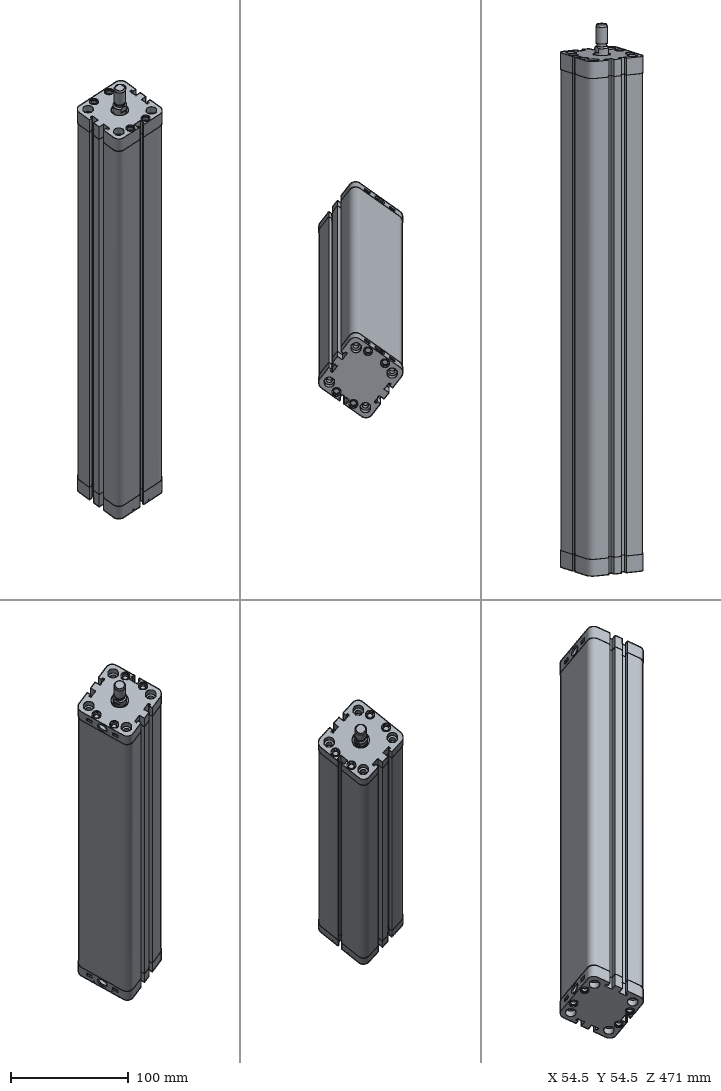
import cadquery as cq

TOTAL_HEIGHT = 471.0
ROD_STICK_OUT = 26.0
CAP_HEIGHT = 14.5
HALF_HEIGHT = TOTAL_HEIGHT / 2
BOTTOM_Z = -HALF_HEIGHT
TOP_FACE_Z = HALF_HEIGHT - ROD_STICK_OUT
BARREL_BOTTOM_Z = BOTTOM_Z + CAP_HEIGHT
BARREL_TOP_Z = TOP_FACE_Z - CAP_HEIGHT
BARREL_LENGTH = BARREL_TOP_Z - BARREL_BOTTOM_Z

WIDTH = 54.5
CAP_CORNER_RADIUS = 6.0
BARREL_CORNER_RADIUS = 7.0

RIB_WIDTH = 7.0
SIDE_SLOT_WIDTH = 5.0
SIDE_SLOT_DEPTH = 5.0
SIDE_SLOT_LIP = 3.5
SIDE_SLOT_UNDERCUT = 2.0

T_SLOT_MOUTH = 4.2
T_SLOT_WIDTH = 7.5
T_SLOT_DEPTH = 5.5
T_SLOT_LIP = 1.5

SCREW_PITCH = 38.0
SCREW_HEAD_DIAMETER = 9.0
SCREW_HEAD_DEPTH = 7.0
SCREW_DIAMETER = 5.0
SIDE_HOLE_X = 22.5
SIDE_HOLE_Y = 9.0
SIDE_HOLE_MOUTH_DIAMETER = 7.5
SIDE_HOLE_MOUTH_DEPTH = 1.5
SIDE_HOLE_DIAMETER = 5.0
SIDE_HOLE_DEPTH = 4.5

PORT_INSET = 8.0
PORT_MOUTH_DIAMETER = 10.0
PORT_DIAMETER = 8.0
PORT_MOUTH_DEPTH = (PORT_MOUTH_DIAMETER - PORT_DIAMETER) / 2
PORT_FLOOR_DIAMETER = 40.0
POCKET_OFFSET = 13.0
POCKET_WIDTH = 5.5
POCKET_HEIGHT = 3.5
POCKET_TAPER = 1.0
POCKET_DEPTH = 1.0

ROD_DIAMETER = 12.0
THREAD_DIAMETER = 10.0
THREAD_LENGTH = 16.5
THREAD_TIP_DIAMETER = 8.0
THREAD_TIP_LENGTH = 2.0
NECK_DIAMETER = 8.5
NECK_LENGTH = 2.5
SHOULDER_CHAMFER = 1.5
FLATS_WIDTH = 10.0
FLATS_LENGTH = 5.0
ROD_RECESS_DIAMETER = 14.5
ROD_RECESS_DEPTH = 1.5

SIGNS = (-1, 1)


def box_between(x_range, y_range, z_range):
    """Box spanning the given (low, high) ranges."""
    sizes = [high - low for low, high in (x_range, y_range, z_range)]
    corner = (x_range[0], y_range[0], z_range[0])
    return cq.Workplane("XY").box(*sizes, centered=False).translate(corner)


def cylinder(x, y, z, diameter, height):
    """Upright cylinder standing on the point (x, y, z)."""
    return cq.Workplane("XY").workplane(offset=z).center(x, y).circle(diameter / 2).extrude(height)


def side_slot(x_sign, y_sign, z, height):
    """L-shaped slot beside the middle rib of the -Y or +Y side."""
    outer_y = WIDTH / 2
    floor_y = outer_y - SIDE_SLOT_DEPTH
    rib_x = RIB_WIDTH / 2
    mouth_x = rib_x + SIDE_SLOT_WIDTH
    undercut_x = mouth_x + SIDE_SLOT_UNDERCUT
    lip_y = outer_y - SIDE_SLOT_LIP
    points = [
        (rib_x, floor_y),
        (undercut_x, floor_y),
        (undercut_x, lip_y),
        (mouth_x, lip_y),
        (mouth_x, outer_y),
        (rib_x, outer_y),
    ]
    signed_points = [(x_sign * x, y_sign * y) for x, y in points]
    return cq.Workplane("XY").workplane(offset=z).polyline(signed_points).close().extrude(height)


def t_slot(z, height):
    """T-slot in the +X side."""
    outer_x = WIDTH / 2
    floor_x = outer_x - T_SLOT_DEPTH
    lip_x = outer_x - T_SLOT_LIP
    z_range = (z, z + height)
    mouth = box_between((floor_x, outer_x), (-T_SLOT_MOUTH / 2, T_SLOT_MOUTH / 2), z_range)
    inner = box_between((floor_x, lip_x), (-T_SLOT_WIDTH / 2, T_SLOT_WIDTH / 2), z_range)
    return mouth.union(inner)


def slotted_block(corner_radius, z, height):
    """Rounded square block with the slots running along its whole height."""
    block = cq.Workplane("XY").workplane(offset=z).rect(WIDTH, WIDTH).extrude(height)
    block = block.edges("|Z").fillet(corner_radius)
    for x_sign in SIGNS:
        for y_sign in SIGNS:
            block = block.cut(side_slot(x_sign, y_sign, z, height))
    return block.cut(t_slot(z, height))


def port(z):
    """Air port whose mouth is chamfered and whose floor is a round core about the Z axis."""
    outer_x = WIDTH / 2
    mouth_plane = cq.Plane(origin=(-outer_x, 0, z), xDir=(0, 1, 0), normal=(1, 0, 0))
    bore = cq.Workplane(mouth_plane).circle(PORT_DIAMETER / 2).extrude(outer_x)
    mouth = (
        cq.Workplane(mouth_plane)
        .circle(PORT_MOUTH_DIAMETER / 2)
        .workplane(offset=PORT_MOUTH_DEPTH)
        .circle(PORT_DIAMETER / 2)
        .loft()
    )
    core = cylinder(0, 0, z - PORT_DIAMETER, PORT_FLOOR_DIAMETER, 2 * PORT_DIAMETER)
    return bore.union(mouth).cut(core)


def side_pocket(y_sign, z):
    """Shallow rectangular pocket beside the port, narrowing towards its floor."""
    mouth_plane = cq.Plane(origin=(-WIDTH / 2, y_sign * POCKET_OFFSET, z), xDir=(0, 1, 0), normal=(1, 0, 0))
    return (
        cq.Workplane(mouth_plane)
        .rect(POCKET_WIDTH, POCKET_HEIGHT)
        .workplane(offset=POCKET_DEPTH)
        .rect(POCKET_WIDTH - 2 * POCKET_TAPER, POCKET_HEIGHT - 2 * POCKET_TAPER)
        .loft()
    )


def screw_hole(x, y):
    """Corner screw hole through a cap whose outer face is at TOP_FACE_Z."""
    head = cylinder(x, y, TOP_FACE_Z - SCREW_HEAD_DEPTH, SCREW_HEAD_DIAMETER, SCREW_HEAD_DEPTH)
    return head.union(cylinder(x, y, BARREL_TOP_Z, SCREW_DIAMETER, CAP_HEIGHT))


def side_hole(x, y):
    """Blind stepped hole near the -X or +X side of a cap whose outer face is at TOP_FACE_Z."""
    mouth_z = TOP_FACE_Z - SIDE_HOLE_MOUTH_DEPTH
    mouth = cylinder(x, y, mouth_z, SIDE_HOLE_MOUTH_DIAMETER, SIDE_HOLE_MOUTH_DEPTH)
    return mouth.union(cylinder(x, y, TOP_FACE_Z - SIDE_HOLE_DEPTH, SIDE_HOLE_DIAMETER, SIDE_HOLE_DEPTH))


def cap():
    """End cap in the upper position, without the passage for the rod."""
    body = slotted_block(CAP_CORNER_RADIUS, BARREL_TOP_Z, CAP_HEIGHT)
    port_z = TOP_FACE_Z - PORT_INSET
    body = body.cut(port(port_z))
    for y_sign in SIGNS:
        body = body.cut(side_pocket(y_sign, port_z))
        for x_sign in SIGNS:
            body = body.cut(screw_hole(x_sign * SCREW_PITCH / 2, y_sign * SCREW_PITCH / 2))
            body = body.cut(side_hole(x_sign * SIDE_HOLE_X, y_sign * SIDE_HOLE_Y))
    return body


def top_cap():
    """Upper cap with the rod passage and the recess around it."""
    passage = cylinder(0, 0, BARREL_TOP_Z, ROD_DIAMETER, CAP_HEIGHT)
    recess = cylinder(0, 0, TOP_FACE_Z - ROD_RECESS_DEPTH, ROD_RECESS_DIAMETER, ROD_RECESS_DEPTH)
    return cap().cut(passage).cut(recess)


def bottom_cap():
    """Lower cap, the mirror image of the upper one about the middle of the barrel."""
    middle_z = (BOTTOM_Z + TOP_FACE_Z) / 2
    return cap().mirror("XY", (0, 0, middle_z))


def barrel():
    """Slotted barrel between the caps."""
    return slotted_block(BARREL_CORNER_RADIUS, BARREL_BOTTOM_Z, BARREL_LENGTH)


def piston_rod():
    """Rod standing on the barrel, with wrench flats facing -X and +X, a neck and a threaded end."""
    thread_z = HALF_HEIGHT - THREAD_LENGTH
    shoulder_z = thread_z - NECK_LENGTH
    rod = cylinder(0, 0, BARREL_TOP_Z, ROD_DIAMETER, shoulder_z - BARREL_TOP_Z)
    rod = rod.faces(">Z").chamfer(SHOULDER_CHAMFER)
    for x_sign in SIGNS:
        flat_cut = cq.Workplane("XY").box(ROD_DIAMETER, 2 * ROD_DIAMETER, FLATS_LENGTH)
        flat_x = x_sign * (FLATS_WIDTH + ROD_DIAMETER) / 2
        rod = rod.cut(flat_cut.translate((flat_x, 0, shoulder_z - FLATS_LENGTH / 2)))
    neck = cylinder(0, 0, shoulder_z, NECK_DIAMETER, NECK_LENGTH)
    thread = cylinder(0, 0, thread_z, THREAD_DIAMETER, THREAD_LENGTH)
    tip_inset = (THREAD_DIAMETER - THREAD_TIP_DIAMETER) / 2
    thread = thread.faces(">Z").chamfer(THREAD_TIP_LENGTH, tip_inset)
    return rod.union(neck).union(thread)


result = cq.Compound.makeCompound(
    [barrel().val(), top_cap().val(), bottom_cap().val(), piston_rod().val()]
)